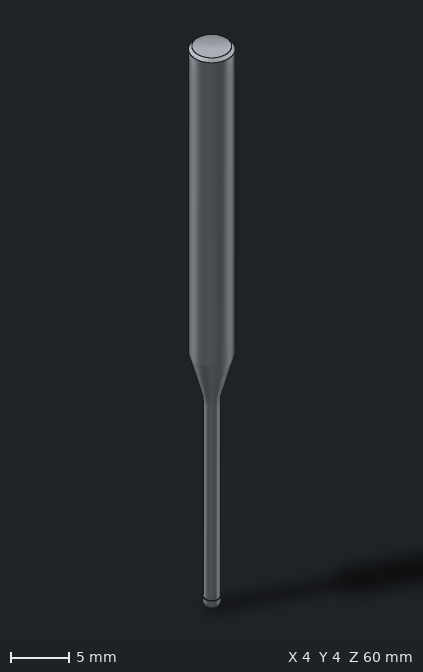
import cadquery as cq
import math

overall_length = 60.0
shank_diameter = 4.0
shank_bottom = 27.2
shank_chamfer = 0.3

ball_diameter = 1.6
cutter_length = 1.2

stem_diameter = 1.5
stem_top = 22.15
cone_bottom_diameter = 1.7
cone_bottom = 22.8

shank_radius = shank_diameter / 2
ball_radius = ball_diameter / 2
stem_radius = stem_diameter / 2
cone_bottom_radius = cone_bottom_diameter / 2


def make_cutter():
    """Ball-nosed tip: a hemisphere with a short cylindrical land above it."""
    arc_offset = ball_radius * math.sqrt(0.5)
    return (
        cq.Workplane("XZ")
        .moveTo(0, 0)
        .threePointArc((arc_offset, ball_radius - arc_offset), (ball_radius, ball_radius))
        .lineTo(ball_radius, cutter_length)
        .lineTo(0, cutter_length)
        .close()
        .revolve(360, (0, 0, 0), (0, 1, 0))
    )


def make_holder():
    """Slim stem flaring by a tangent arc into a tapered shoulder and chamfered shank in one piece."""
    return (
        cq.Workplane("XZ")
        .moveTo(0, cutter_length)
        .lineTo(stem_radius, cutter_length)
        .lineTo(stem_radius, stem_top)
        .tangentArcPoint((cone_bottom_radius, cone_bottom), relative=False)
        .lineTo(shank_radius, shank_bottom)
        .lineTo(shank_radius, overall_length - shank_chamfer)
        .lineTo(shank_radius - shank_chamfer, overall_length)
        .lineTo(0, overall_length)
        .close()
        .revolve(360, (0, 0, 0), (0, 1, 0))
    )


cutter = make_cutter()
holder = make_holder()

result = cq.Compound.makeCompound([cutter.val(), holder.val()])